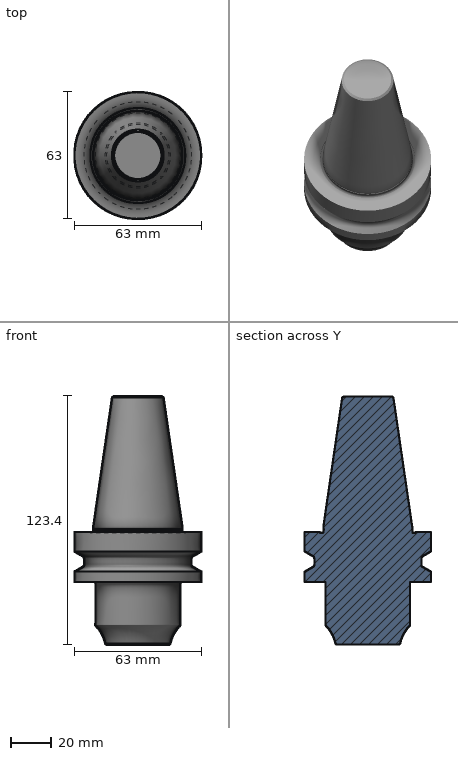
import cadquery as cq
import math

total_height = 123.4
flange_bottom = 31.1
flange_height = 24.9
flange_top = flange_bottom + flange_height
gauge_height = 2.2
gauge_level = flange_top + gauge_height

gauge_radius = 22.2
taper_ratio = 7 / 24
taper_end_radius = gauge_radius - (total_height - gauge_level) * taper_ratio / 2
end_chamfer_radial = 1.0
end_chamfer_height = 0.7

collar_groove_bottom = flange_top + 1.0
collar_groove_height = 0.4
collar_groove_depth = 0.2
collar_groove_clearance = 1.2
face_groove_width = 1.4
face_groove_fillet = 0.6
face_groove_depth = 0.5
face_groove_floor = flange_top - face_groove_depth

flange_radius = 63.0 / 2
grip_root_radius = 26.7
grip_slope = math.radians(30)
grip_center = 41.3
grip_root_height = 4.5
grip_fillet = 1.1
grip_flare = (flange_radius - grip_root_radius) * math.tan(grip_slope)

nose_radius = 21.1
nose_shoulder = 9.7
tip_radius = 16.2
tip_chamfer = 0.7
nose_edge_fillet = 0.4
nose_sag = 0.7

arc_drop = nose_shoulder - tip_chamfer
arc_run = nose_radius - tip_radius
arc_chord = math.hypot(arc_run, arc_drop)
arc_middle = (
    (nose_radius + tip_radius) / 2 - nose_sag * arc_drop / arc_chord,
    (nose_shoulder + tip_chamfer) / 2 + nose_sag * arc_run / arc_chord,
)


def revolve_profile(profile):
    return profile.close().revolve(360, (0, 0, 0), (0, 1, 0))


def ring(inner_radius, outer_radius, bottom, height):
    outline = cq.Workplane("XY", origin=(0, 0, bottom)).circle(outer_radius).circle(inner_radius)
    return outline.extrude(height)


def make_nose():
    return revolve_profile(
        cq.Workplane("XZ")
        .lineTo(tip_radius - tip_chamfer, 0)
        .lineTo(tip_radius, tip_chamfer)
        .threePointArc(arc_middle, (nose_radius, nose_shoulder))
        .lineTo(nose_radius, flange_bottom)
        .lineTo(0, flange_bottom)
    )


def make_flange():
    half_root = grip_root_height / 2
    half_mouth = half_root + grip_flare
    flange = revolve_profile(
        cq.Workplane("XZ")
        .moveTo(0, flange_bottom)
        .lineTo(flange_radius, flange_bottom)
        .lineTo(flange_radius, grip_center - half_mouth)
        .lineTo(grip_root_radius, grip_center - half_root)
        .lineTo(grip_root_radius, grip_center + half_root)
        .lineTo(flange_radius, grip_center + half_mouth)
        .lineTo(flange_radius, flange_top)
        .lineTo(0, flange_top)
    )
    root_edges = cq.selectors.BoxSelector(
        (-flange_radius, -flange_radius, grip_center - half_root - grip_fillet),
        (flange_radius, flange_radius, grip_center + half_root + grip_fillet),
    )
    flange = flange.edges(root_edges).edges("%CIRCLE").fillet(grip_fillet)
    face_groove = ring(
        gauge_radius,
        gauge_radius + face_groove_width,
        face_groove_floor,
        face_groove_depth,
    )
    return flange.cut(face_groove)


def make_shank():
    chamfer_start = total_height - end_chamfer_height
    shank = revolve_profile(
        cq.Workplane("XZ")
        .moveTo(0, flange_top)
        .lineTo(gauge_radius, flange_top)
        .lineTo(gauge_radius, gauge_level)
        .lineTo(taper_end_radius + end_chamfer_height * taper_ratio / 2, chamfer_start)
        .lineTo(taper_end_radius - end_chamfer_radial, total_height)
        .lineTo(0, total_height)
    )
    collar_groove = ring(
        gauge_radius - collar_groove_depth,
        gauge_radius + collar_groove_clearance,
        collar_groove_bottom,
        collar_groove_height,
    )
    return shank.cut(collar_groove)


def circle_near(radius, level):
    """Select the circular edge of the given radius at the given height."""
    margin = 0.1
    reach = radius + margin
    return cq.selectors.BoxSelector(
        (-reach, -reach, level - margin),
        (reach, reach, level + margin),
        boundingbox=True,
    )


body = make_nose().union(make_flange()).union(make_shank()).clean()
body = body.edges(circle_near(nose_radius, flange_bottom)).fillet(nose_edge_fillet)
body = body.edges(circle_near(gauge_radius, face_groove_floor)).fillet(face_groove_fillet)
result = body.edges(circle_near(nose_radius, nose_shoulder)).fillet(nose_edge_fillet)